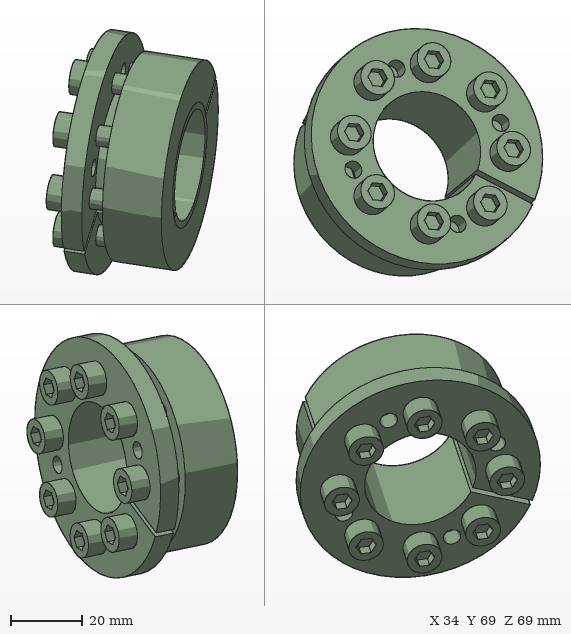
import cadquery as cq
import math


BORE_DIAMETER = 32.0
FLANGE_DIAMETER = 69.0
FLANGE_THICKNESS = 6.0
CONE_ROOT_RADIUS = 20.0
CONE_TIP_RADIUS = 18.0

RING_DIAMETER = 60.0
RING_GAP = 4.8
RING_LENGTH = 17.2
RING_START = FLANGE_THICKNESS + RING_GAP
RING_END = RING_START + RING_LENGTH
CONE_SLOPE = (CONE_ROOT_RADIUS - CONE_TIP_RADIUS) / (RING_END - FLANGE_THICKNESS)
RING_MOUTH_RADIUS = CONE_ROOT_RADIUS - CONE_SLOPE * RING_GAP

SLIT_WIDTH = 1.5
RING_SLIT_ANGLE = 22.5
CONE_SLIT_ANGLE = RING_SLIT_ANGLE + 180.0

SCREW_COUNT = 8
SCREW_PITCH = 360.0 / SCREW_COUNT
SCREW_CIRCLE_RADIUS = 23.75
SCREW_DIAMETER = 6.0
SCREW_LENGTH = 25.0
HEAD_DIAMETER = 10.0
HEAD_HEIGHT = 6.0
SOCKET_ACROSS_FLATS = 5.0
SOCKET_CORNER_DIAMETER = SOCKET_ACROSS_FLATS / math.cos(math.pi / 6)
SOCKET_DEPTH = 3.0

JACKING_COUNT = 4
JACKING_PITCH = 360.0 / JACKING_COUNT
JACKING_START_ANGLE = 1.5 * SCREW_PITCH
JACKING_DIAMETER = 5.0

SCREW_ANGLES = [i * SCREW_PITCH for i in range(SCREW_COUNT)]
JACKING_ANGLES = [JACKING_START_ANGLE + i * JACKING_PITCH for i in range(JACKING_COUNT)]


def on_screw_circle(angle):
    """Y and Z of a point on the screw circle."""
    turn = math.radians(angle)
    return SCREW_CIRCLE_RADIUS * math.cos(turn), SCREW_CIRCLE_RADIUS * math.sin(turn)


def axial_cylinders(angles, diameter, length):
    """Cylinders on the screw circle, running back from the flange front face."""
    points = [on_screw_circle(angle) for angle in angles]
    return cq.Workplane("YZ").pushPoints(points).circle(diameter / 2).extrude(length)


def slit_cutter(angle):
    """Radial blade from the axis outwards, as long as the whole bush."""
    blade = cq.Workplane("XY").box(RING_END, FLANGE_DIAMETER, SLIT_WIDTH, centered=(False, False, True))
    return blade.rotate((0, 0, 0), (1, 0, 0), angle)


def revolve_about_x(profile):
    return cq.Workplane("XY").polyline(profile).close().revolve(360, (0, 0, 0), (1, 0, 0))


def make_flanged_cone():
    bore_radius = BORE_DIAMETER / 2
    flange_radius = FLANGE_DIAMETER / 2
    body = revolve_about_x([
        (0, bore_radius),
        (0, flange_radius),
        (FLANGE_THICKNESS, flange_radius),
        (FLANGE_THICKNESS, CONE_ROOT_RADIUS),
        (RING_END, CONE_TIP_RADIUS),
        (RING_END, bore_radius),
    ])
    body = body.cut(axial_cylinders(SCREW_ANGLES, SCREW_DIAMETER, FLANGE_THICKNESS))
    body = body.cut(axial_cylinders(JACKING_ANGLES, JACKING_DIAMETER, FLANGE_THICKNESS))
    return body.cut(slit_cutter(CONE_SLIT_ANGLE))


def make_outer_ring():
    ring_radius = RING_DIAMETER / 2
    body = revolve_about_x([
        (RING_START, RING_MOUTH_RADIUS),
        (RING_START, ring_radius),
        (RING_END, ring_radius),
        (RING_END, CONE_TIP_RADIUS),
    ])
    body = body.cut(axial_cylinders(SCREW_ANGLES, SCREW_DIAMETER, SCREW_LENGTH))
    return body.cut(slit_cutter(RING_SLIT_ANGLE))


def make_screw(angle):
    """Screw with its head seated on the flange and two socket corners level with its axis."""
    y, z = on_screw_circle(angle)
    seat = cq.Plane(origin=(0, y, z), xDir=(0, -1, 0), normal=(1, 0, 0))
    head_top = cq.Plane(origin=(-HEAD_HEIGHT, y, z), xDir=(0, -1, 0), normal=(1, 0, 0))
    head = cq.Workplane(head_top).circle(HEAD_DIAMETER / 2).extrude(HEAD_HEIGHT)
    shank = cq.Workplane(seat).circle(SCREW_DIAMETER / 2).extrude(SCREW_LENGTH)
    socket = cq.Workplane(head_top).polygon(6, SOCKET_CORNER_DIAMETER).extrude(SOCKET_DEPTH)
    return head.union(shank).cut(socket)


flanged_cone = make_flanged_cone()
outer_ring = make_outer_ring()
screws = [make_screw(angle) for angle in SCREW_ANGLES]

result = cq.Compound.makeCompound([
    flanged_cone.val(),
    outer_ring.val(),
    *[screw.val() for screw in screws],
])